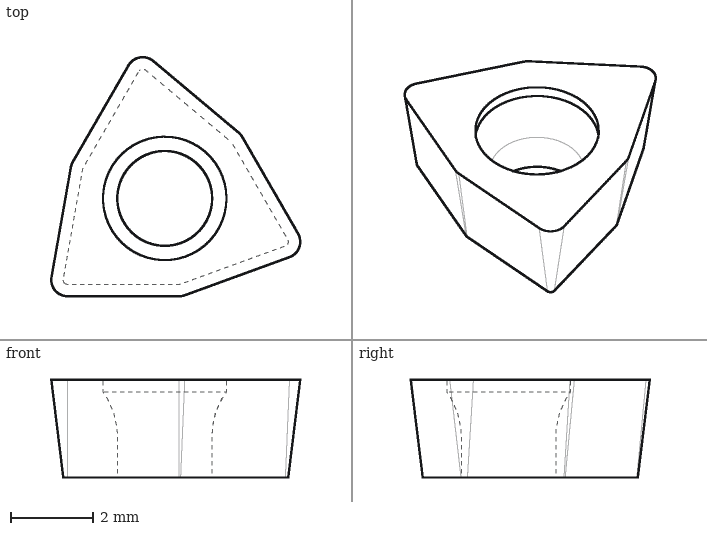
import cadquery as cq
import math


inscribed_circle = 4.76
thickness = 2.38
corner_radius = 0.4
relief_angle = 7.0
corner_angle = 80.0
corner_count = 3
first_corner_direction = 100.0

bore_diameter = 2.3
seat_diameter = 3.0
seat_wall_depth = 0.3
seat_curve_radius = 1.8

inradius = inscribed_circle / 2
bore_radius = bore_diameter / 2
seat_radius = seat_diameter / 2
corner_pitch = 360.0 / corner_count

corner_to_normal = 90.0 - corner_angle / 2
blunt_to_normal = corner_pitch / 2 - corner_to_normal


def vertex(apothem, angle_to_normal, direction):
    """Point in the given direction where two edges at the given apothem meet."""
    radius = apothem / math.cos(math.radians(angle_to_normal))
    angle = math.radians(direction)
    return radius * math.cos(angle), radius * math.sin(angle)


def trigon_wire(z, shrink):
    """Rounded trigon outline at height z, set inwards by shrink from the top outline."""
    core_apothem = inradius - corner_radius
    core_points = []
    for index in range(corner_count):
        direction = first_corner_direction + index * corner_pitch
        core_points.append(vertex(core_apothem, corner_to_normal, direction))
        core_points.append(vertex(core_apothem, blunt_to_normal, direction + corner_pitch / 2))
    core = cq.Workplane("XY").workplane(offset=z).polyline(core_points).close()
    return core.offset2D(corner_radius - shrink).wires().val()


def make_body():
    """Insert body whose flanks lean inwards by the relief angle towards the base."""
    base_shrink = thickness * math.tan(math.radians(relief_angle))
    base_outline = trigon_wire(0, base_shrink)
    top_outline = trigon_wire(thickness, 0)
    return cq.Workplane("XY").newObject([cq.Solid.makeLoft([base_outline, top_outline], True)])


def make_screw_hole():
    """Through bore that flares tangentially into a screw seat with a short cylindrical mouth."""
    seat_top = thickness - seat_wall_depth
    seat_step = seat_radius - bore_radius
    seat_height = math.sqrt(seat_curve_radius**2 - (seat_curve_radius - seat_step) ** 2)
    half_profile = (
        cq.Workplane("XZ")
        .lineTo(bore_radius, 0)
        .lineTo(bore_radius, seat_top - seat_height)
        .radiusArc((seat_radius, seat_top), seat_curve_radius)
        .lineTo(seat_radius, thickness)
        .lineTo(0, thickness)
        .close()
    )
    return half_profile.revolve(360, (0, 0, 0), (0, 1, 0))


result = make_body().cut(make_screw_hole())